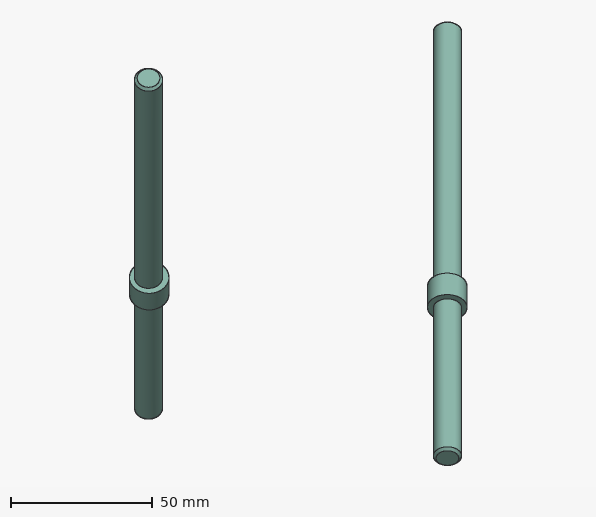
import cadquery as cq

rod_diameter = 10.0
rod_length = 200.0
end_chamfer = 1.0
collar_diameter = 14.0
collar_height = 10.0
collar_bottom = 70.0
collar_offset = 0.3


def make_rod():
    """Straight round rod standing on Z = 0, chamfered at both ends."""
    rod = cq.Workplane("XY").circle(rod_diameter / 2).extrude(rod_length)
    return rod.faces("<Z or >Z").chamfer(end_chamfer)


def make_collar():
    """Plain cylindrical collar surrounding the rod, slightly off its axis."""
    return (
        cq.Workplane("XY")
        .workplane(offset=collar_bottom)
        .center(collar_offset, 0)
        .circle(collar_diameter / 2)
        .extrude(collar_height)
    )


result = make_rod().union(make_collar())